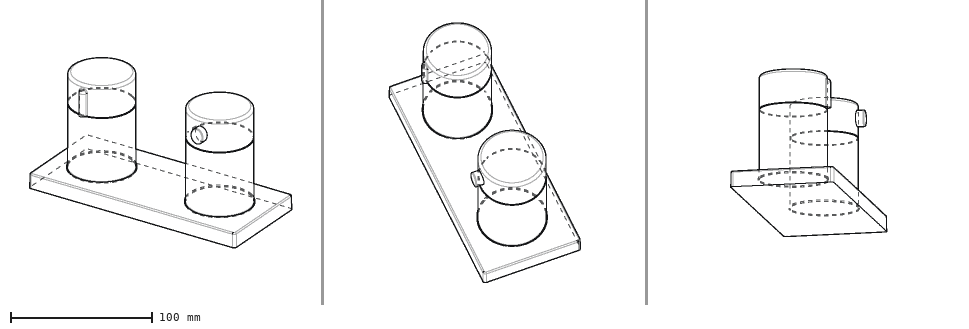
import cadquery as cq
import math

plate_length = 175.0
plate_width = 75.0
plate_peak_z = 11.95
plate_draft_deg = 1.0
plate_corner_radius = 2.0
plate_edge_fillet = 1.0
crown_drop_x = 0.25
crown_drop_y = 0.15

tower_offset_x = 50.0
tower_radius = 24.25
total_height = 86.78
cap_height = 24.5
cap_fillet = 2.2
joint_gap = 0.5
joint_depth = 0.4
cap_bottom_z = total_height - cap_height

clearance_radius = 25.0
clearance_depth = 1.0

pointer_radius = 2.9
pointer_tip_y = -27.2
pointer_dome_z = 80.3
pointer_root_fillet = 0.8
root_search_margin = 0.3

button_width = 10.0
button_height = 12.0
button_center_z = 75.0
button_tip_y = -30.2
button_dome_radius = 27.0
button_fillet = 0.6


def arc_radius(half_chord, drop):
    """Radius of the arc that falls by drop at half_chord from its peak."""
    return (half_chord**2 + drop**2) / (2 * drop)


def crown_barrel():
    """Barrel-shaped solid whose upper surface is the crowned plate top."""
    half_length = plate_length / 2
    end_z = plate_peak_z - crown_drop_x
    axis_z = plate_peak_z - arc_radius(plate_width / 2, crown_drop_y)
    return (
        cq.Workplane("XZ")
        .moveTo(-half_length, axis_z)
        .lineTo(-half_length, end_z)
        .threePointArc((0, plate_peak_z), (half_length, end_z))
        .lineTo(half_length, axis_z)
        .close()
        .revolve(360, (-half_length, axis_z), (half_length, axis_z))
    )


def base_plate():
    blank_height = plate_peak_z + plate_edge_fillet
    inset = blank_height * math.tan(math.radians(plate_draft_deg))
    blank = (
        cq.Workplane("XY")
        .rect(plate_length, plate_width)
        .workplane(offset=blank_height)
        .rect(plate_length - 2 * inset, plate_width - 2 * inset)
        .loft(combine=True)
        .edges("not(|X or |Y)")
        .fillet(plate_corner_radius)
    )
    return blank.intersect(crown_barrel()).faces(">Z").edges().fillet(plate_edge_fillet)


def clearance_groove(center_x):
    return (
        cq.Workplane("XY")
        .workplane(offset=plate_peak_z - clearance_depth)
        .center(center_x, 0)
        .circle(clearance_radius)
        .circle(tower_radius)
        .extrude(2 * clearance_depth)
    )


def tower_body(center_x):
    """Fixed cylinder with a narrower neck that leaves a thin joint below the cap."""
    return (
        cq.Workplane("XY")
        .center(center_x, 0)
        .circle(tower_radius)
        .extrude(cap_bottom_z - joint_gap)
        .faces(">Z")
        .workplane()
        .circle(tower_radius - joint_depth)
        .extrude(joint_gap)
    )


def cap(center_x):
    return (
        cq.Workplane("XY")
        .workplane(offset=cap_bottom_z)
        .center(center_x, 0)
        .circle(tower_radius)
        .extrude(cap_height)
        .faces(">Z")
        .edges()
        .fillet(cap_fillet)
    )


def cap_with_pointer(center_x):
    """Cap with an upright half-buried post, domed at the top and blended into the cap."""
    center_y = pointer_tip_y + pointer_radius
    post = (
        cq.Workplane("XY")
        .workplane(offset=cap_bottom_z)
        .center(center_x, center_y)
        .circle(pointer_radius)
        .extrude(pointer_dome_z - cap_bottom_z)
    )
    dome = cq.Workplane("XY").sphere(pointer_radius).translate((center_x, center_y, pointer_dome_z))
    root_edges = cq.selectors.BoxSelector(
        (center_x - tower_radius, -tower_radius - root_search_margin, cap_bottom_z),
        (center_x + tower_radius, -tower_radius + root_search_margin, total_height),
    )
    return cap(center_x).union(post.union(dome)).edges(root_edges).fillet(pointer_root_fillet)


def button(center_x):
    """Oval pin pointing toward -Y with a gently domed, rounded end."""
    pin = (
        cq.Workplane("XZ")
        .center(center_x, button_center_z)
        .ellipse(button_width / 2, button_height / 2)
        .extrude(-button_tip_y)
    )
    dome_center = (center_x, button_tip_y + button_dome_radius, button_center_z)
    dome = cq.Workplane("XY").sphere(button_dome_radius).translate(dome_center)
    return pin.intersect(dome).faces("<Y").edges().fillet(button_fillet)


result = base_plate()
for tower_x in (-tower_offset_x, tower_offset_x):
    result = result.cut(clearance_groove(tower_x)).union(tower_body(tower_x))
result = result.union(cap_with_pointer(-tower_offset_x))
result = result.union(cap(tower_offset_x)).union(button(tower_offset_x))